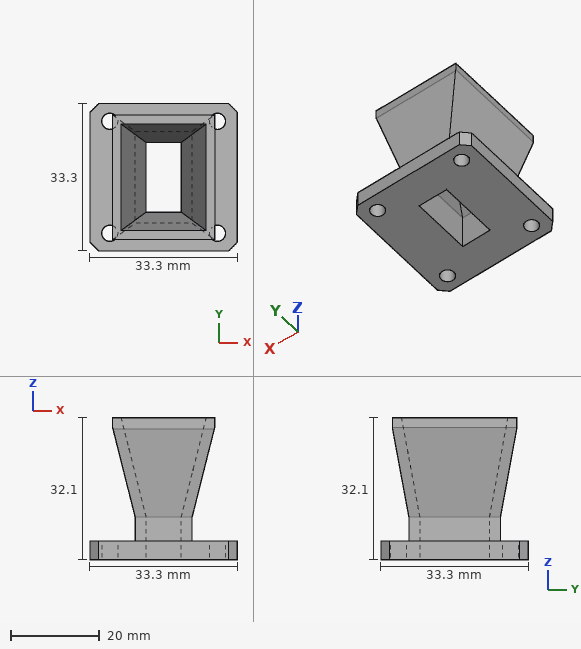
import cadquery as cq

total_height = 32.12
flange_thickness = 4.3
flare_start = 9.7
flare_height = total_height - flare_start

flange_side = 33.3
corner_chamfer = 2.0
hole_diameter = 3.6
hole_spacing_x = 24.28
hole_spacing_y = 25.26

bore_x, bore_y = 7.9, 15.7
mouth_x, mouth_y = 19.2, 24.0

wall = 2.5
neck_x, neck_y = bore_x + 2 * wall, bore_y + 2 * wall
rim_x, rim_y = 23.1, 28.05


def block(size_x, size_y, bottom, height):
    """Box centred on the Z axis, rising from the given bottom."""
    return cq.Workplane("XY").workplane(offset=bottom).rect(size_x, size_y).extrude(height)


def flare(margin):
    """Rectangular funnel from bore to mouth, enlarged by a margin on every side."""
    return (
        cq.Workplane("XY")
        .workplane(offset=flare_start)
        .rect(bore_x + 2 * margin, bore_y + 2 * margin)
        .workplane(offset=flare_height)
        .rect(mouth_x + 2 * margin, mouth_y + 2 * margin)
        .loft(ruled=True)
    )


def flange():
    """Square plate with chamfered corners and four through holes."""
    plate = block(flange_side, flange_side, 0, flange_thickness)
    plate = plate.edges("|Z").chamfer(corner_chamfer)
    return (
        plate.faces(">Z")
        .workplane()
        .rect(hole_spacing_x, hole_spacing_y, forConstruction=True)
        .vertices()
        .hole(hole_diameter)
    )


def horn_body():
    """Straight neck and flare; the flare is trimmed to a vertical rim."""
    neck = block(neck_x, neck_y, 0, flare_start)
    rim_limit = block(rim_x, rim_y, flare_start, flare_height)
    return neck.union(flare(wall).intersect(rim_limit))


def passage():
    """Open channel from the flange face up to the mouth."""
    return block(bore_x, bore_y, 0, flare_start).union(flare(0))


result = flange().union(horn_body()).cut(passage())